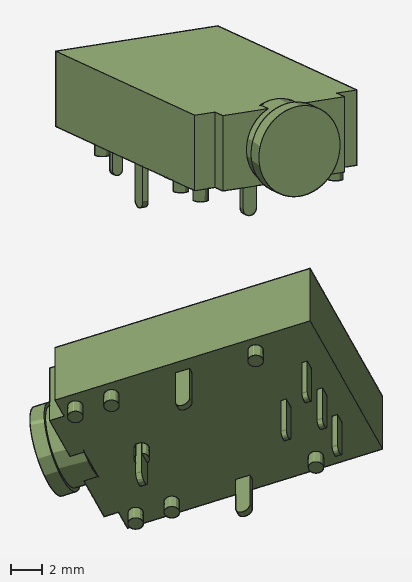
import cadquery as cq

total_length = 20.7

housing_length = 17.7
housing_width = 12.0
housing_height = 5.0
lip_length = 1.0
lip_width = 9.0
underside_z = -housing_height / 2

barrel_diameter = 5.5
collar_diameter = 6.0
collar_length = 1.0
collar_start_x = total_length - collar_length
barrel_length = collar_start_x - housing_length

peg_diameter = 1.0
peg_length = 1.0
row_offset = 4.99
peg_xs = (4.2, 14.2, 16.7)

total_height = 8.8
pin_length = total_height - (collar_diameter + housing_height) / 2
narrow_pin_width = 0.75
narrow_pin_thickness = 0.37
wide_pin_width = 1.0
wide_pin_thickness = 0.41
rear_pin_x = 1.7
rear_pin_pitch = 2.5
inner_pin_x = peg_xs[0]
side_pin_x = 9.2
front_pin_x = peg_xs[1]


def cylinder_along_x(start_x, diameter, length):
    """Solid cylinder on the barrel axis."""
    return cq.Workplane("YZ", origin=(start_x, 0, 0)).circle(diameter / 2).extrude(length)


def make_peg(x, y):
    """Round peg standing down from the underside."""
    return cq.Workplane("XY", origin=(x, y, underside_z)).circle(peg_diameter / 2).extrude(-peg_length)


def make_pin(x, y, width, thickness, plane):
    """Flat blade hanging from the underside; its wide face is parallel to the given plane."""
    tip_radius = width / 2
    tip_start = tip_radius - pin_length
    return (
        cq.Workplane(plane, origin=(x, y, underside_z))
        .moveTo(-tip_radius, 0)
        .lineTo(-tip_radius, tip_start)
        .threePointArc((0, -pin_length), (tip_radius, tip_start))
        .lineTo(tip_radius, 0)
        .close()
        .extrude(thickness / 2, both=True)
    )


def make_housing():
    """Box with a front lip, a seat for the barrel, and the pegs and pins below it."""
    centered = (False, True, True)
    body = cq.Workplane("XY").box(housing_length, housing_width, housing_height, centered=centered)
    lip = cq.Workplane("XY", origin=(housing_length, 0, 0)).box(
        lip_length, lip_width, housing_height, centered=centered
    )
    barrel_seat = cylinder_along_x(housing_length, barrel_diameter, lip_length)
    body = body.union(lip).cut(barrel_seat)

    for x in peg_xs:
        for y in (-row_offset, row_offset):
            body = body.union(make_peg(x, y))
    body = body.union(make_peg(front_pin_x, 0))

    for y in (-rear_pin_pitch, 0, rear_pin_pitch):
        body = body.union(make_pin(rear_pin_x, y, narrow_pin_width, narrow_pin_thickness, "YZ"))
    body = body.union(make_pin(inner_pin_x, 0, narrow_pin_width, narrow_pin_thickness, "YZ"))
    body = body.union(make_pin(front_pin_x, 0, wide_pin_width, wide_pin_thickness, "YZ"))
    for y in (-row_offset, row_offset):
        body = body.union(make_pin(side_pin_x, y, wide_pin_width, wide_pin_thickness, "XZ"))
    return body


def make_barrel():
    """Plain barrel seated in the lip, ending at the collar."""
    return cylinder_along_x(housing_length, barrel_diameter, barrel_length)


def make_collar():
    """Wider disc on the front end of the barrel."""
    return cylinder_along_x(collar_start_x, collar_diameter, collar_length)


housing = make_housing()
barrel = make_barrel()
collar = make_collar()

result = cq.Compound.makeCompound([housing.val(), barrel.val(), collar.val()])